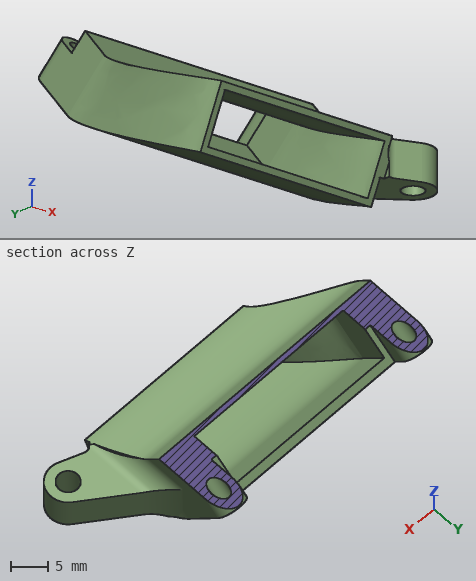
import cadquery as cq
import math

inlet_width = 39.95
inlet_depth = 10.0
inlet_height = 6.25
inlet_lean = math.radians(40)
inlet_front_y = 9.7
inlet_front_z = 12.5
cavity_width = 28.05
cavity_depth = 7.95
inlet_back_wall = 1.4

outlet_x = 12.35
outlet_width = 30.0
outlet_length = 10.0
outlet_tilt = math.radians(26)
wall = 1.0

inlet_front_pull = 3.1
inlet_back_pull = 4.15
outlet_pull = 3.1

lug_width = 5.0
lug_length = 6.35
lug_straight = 2.5
lug_hole = 2.5

ear_radius = 3.3
ear_x = 52 - ear_radius
ear_y = ear_radius
ear_hole = 3.4
ear_bottom = 3.75
ear_top = 9.4
ear_fillet = 3.1

ACROSS = cq.Vector(1, 0, 0)
inlet_up = cq.Vector(0, math.sin(inlet_lean), math.cos(inlet_lean))
inlet_back = cq.Vector(0, math.cos(inlet_lean), -math.sin(inlet_lean))
outlet_down = cq.Vector(0, math.sin(outlet_tilt), -math.cos(outlet_tilt))
outlet_flow = cq.Vector(0, -math.cos(outlet_tilt), -math.sin(outlet_tilt))
inlet_corner = cq.Vector(0, inlet_front_y, inlet_front_z)
outlet_corner = cq.Vector(outlet_x, 0, outlet_length * math.cos(outlet_tilt))


def rectangle(corner, width, side, depth):
    """Four corners of a rectangle spanned by X and the given side direction."""
    return [
        corner,
        corner + ACROSS * width,
        corner + ACROSS * width + side * depth,
        corner + side * depth,
    ]


def straight_prism(corners, travel):
    face = cq.Face.makeFromWires(cq.Wire.makePolygon(corners, close=True))
    return cq.Workplane(cq.Solid.extrudeLinear(face, travel))


def curved_duct(start, end):
    """Solid between two rectangles whose corners follow smooth curves."""
    pulls = [inlet_front_pull, inlet_front_pull, inlet_back_pull, inlet_back_pull]
    rails = [
        cq.Edge.makeBezier([p, p - inlet_up * pull, q - outlet_flow * outlet_pull, q])
        for p, q, pull in zip(start, end, pulls)
    ]
    faces = [cq.Face.makeRuledSurface(rails[i - 1], rails[i]) for i in range(4)]
    for corners in (start, end):
        faces.append(cq.Face.makeFromWires(cq.Wire.makePolygon(corners, close=True)))
    solid = cq.Solid.makeSolid(cq.Shell.makeShell(faces))
    return cq.Workplane(solid.fix())


def channel(start, end):
    """Straight inlet followed by the curved duct."""
    return straight_prism(start, inlet_up * inlet_height).union(curved_duct(start, end))


def lugs():
    origin = inlet_corner + inlet_back * inlet_depth + inlet_up * inlet_height
    plane = cq.Plane(origin.toTuple(), ACROSS.toTuple(), (inlet_back * -1).toTuple())
    radius = lug_width / 2
    pair = []
    for x in (0, inlet_width - lug_width):
        lug = (
            cq.Workplane(plane)
            .moveTo(x, 0)
            .lineTo(x, lug_straight)
            .threePointArc((x + radius, lug_straight + radius), (x + lug_width, lug_straight))
            .lineTo(x + lug_width, 0)
            .close()
            .extrude(lug_length)
        )
        hole = cq.Workplane(plane).center(x + radius, lug_straight).circle(lug_hole / 2).extrude(lug_length)
        pair.append(lug.cut(hole))
    return pair


def ear():
    """Tapered plate blended into the duct's +X side by a concave top fillet."""
    root_x = inlet_width
    fillet_x = root_x + ear_fillet
    root_y = 16.25
    shoulder_y = 11.4
    buried_x = root_x - 1.45
    buried_y = 10.4
    wall_point = (40.85, 4.7)
    flank = (root_x + 1.15, 13.35)
    throat_start = (44.2, 1.45)
    throat_middle = (43.25, 1.55)
    throat_end = (outlet_x + outlet_width, 0.75)
    upper_angle = math.radians(54)
    tip_angle = math.radians(-30)
    lower_angle = math.radians(-109)

    def rim(angle):
        return ear_x + ear_radius * math.cos(angle), ear_y + ear_radius * math.sin(angle)

    plan = (
        cq.Workplane("XY", origin=(0, 0, ear_bottom))
        .moveTo(buried_x, root_y)
        .lineTo(root_x, root_y)
        .threePointArc(flank, (fillet_x, shoulder_y))
        .lineTo(*rim(upper_angle))
        .threePointArc(rim(tip_angle), rim(lower_angle))
        .lineTo(*throat_start)
        .threePointArc(throat_middle, throat_end)
        .lineTo(*wall_point)
        .lineTo(buried_x, buried_y)
        .close()
        .extrude(ear_top + ear_fillet - ear_bottom)
    )
    diagonal = ear_fillet * (1 - math.sqrt(0.5))
    side = (
        cq.Workplane("XZ")
        .moveTo(buried_x, ear_bottom)
        .lineTo(buried_x, ear_top + ear_fillet)
        .lineTo(root_x, ear_top + ear_fillet)
        .threePointArc((root_x + diagonal, ear_top + diagonal), (fillet_x, ear_top))
        .lineTo(ear_x + ear_radius, ear_top)
        .lineTo(ear_x + ear_radius, ear_bottom)
        .close()
        .extrude(-root_y)
    )
    hole = cq.Workplane("XY").center(ear_x, ear_y).circle(ear_hole / 2).extrude(ear_top)
    plate = plan.intersect(side).cut(hole)

    trim_size = 52
    root_slab = cq.Workplane("XY").box(fillet_x, trim_size, trim_size, centered=(False, True, True))
    mouth_edge = cq.Vector(0, outlet_corner.y, outlet_corner.z)
    outline = channel(
        rectangle(inlet_corner, fillet_x, inlet_back, inlet_depth),
        rectangle(mouth_edge, fillet_x, outlet_down, outlet_length),
    )
    root = plate.intersect(root_slab).intersect(outline)
    return plate.cut(root_slab).union(root)


outer = channel(
    rectangle(inlet_corner, inlet_width, inlet_back, inlet_depth),
    rectangle(outlet_corner, outlet_width, outlet_down, outlet_length),
)
cavity_corner = (
    inlet_corner
    + ACROSS * ((inlet_width - cavity_width) / 2)
    + inlet_back * (inlet_depth - inlet_back_wall - cavity_depth)
)
mouth_corner = outlet_corner + ACROSS * wall + outlet_down * wall
cavity = channel(
    rectangle(cavity_corner, cavity_width, inlet_back, cavity_depth),
    rectangle(mouth_corner, outlet_width - 2 * wall, outlet_down, outlet_length - 2 * wall),
)

result = outer.union(ear()).cut(cavity)
for lug in lugs():
    result = result.union(lug)